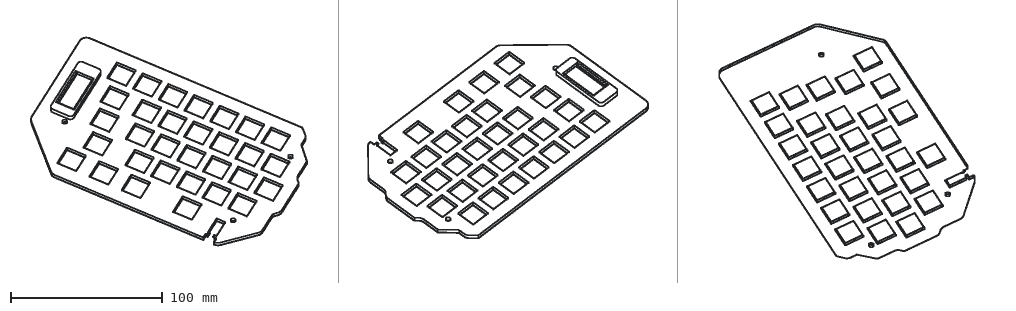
import cadquery as cq

LENGTH = 180.91
WIDTH = 108.77
TOTAL_HEIGHT = 6.65
PLATE_THICKNESS = 3.0

CORNER_RADIUS = 5.0
LOWER_LEFT_CUT = 33.1
LOWER_RIGHT_CUT = 21.5
TOP_RIGHT_CUT = 5.6
UPPER_STEP_X = 168.1
UPPER_STEP_Y = 96.4
MIDDLE_STEP_X = 177.55
MIDDLE_STEP_TOP_Y = 86.1
MIDDLE_STEP_BOTTOM_Y = 71.3
LOWER_STEP_X = 177.0
LOWER_STEP_Y = 37.7

KEY_PITCH = 19.05
KEY_OPENING = 14.0
KEY_ORIGIN_X = 36.75
TOP_ROW_Y = 92.6
KEY_ROWS = [
    [0, 1, 2, 3, 4, 5, 6],
    [0.25, 1.5, 2.5, 3.5, 4.5, 5.5, 6.5],
    [0.375, 1.75, 2.75, 3.75, 4.75, 5.75, 6.75],
    [0.625, 2.25, 3.25, 4.25, 5.25, 6.25],
    [0.125, 1.375, 2.625, 4.625],
]

SCREW_DIAMETER = 3.2
SCREW_CENTERS = [(21.1, 41.35), (166.2, 84.45), (156.2, 21.4)]

BEZEL_X = 16.75
BEZEL_Y = 65.75
BEZEL_SIZE_X = 16.75
BEZEL_SIZE_Y = 42.95
BEZEL_RADIUS = 2.5
WINDOW_Y = 64.5
WINDOW_SIZE_X = 13.65
WINDOW_SIZE_Y = 28.3
WINDOW_BEVEL = 1.0
POCKET_SIZE_X = WINDOW_SIZE_X - 2 * WINDOW_BEVEL
POCKET_SIZE_Y = 38.0
POCKET_FLOOR_Z = 3.45

NOTCH_X = 149.1
NOTCH_SIZE_X = 6.4
NOTCH_END_Y = 17.7
MOUTH_SIZE_X = 7.9
TAB_START_Y = 3.45
TAB_END_Y = 5.05
PLUG_DIAMETER = 5.35
PLUG_AXIS_Z = 0.75


def box_at(x, y, size_x, size_y, bottom, top):
    """Box centered on (x, y) between two heights."""
    return cq.Workplane("XY", origin=(x, y, bottom)).rect(size_x, size_y).extrude(top - bottom)


def make_plate():
    """Flat plate, with the outline listed counterclockwise from the front edge."""
    right_step = LENGTH - MIDDLE_STEP_X
    lower_step = LENGTH - LOWER_STEP_X
    corners = [
        (LOWER_LEFT_CUT, 0, True),
        (LOWER_STEP_X - LOWER_RIGHT_CUT, 0, True),
        (LOWER_STEP_X, LOWER_RIGHT_CUT, True),
        (LOWER_STEP_X, LOWER_STEP_Y, True),
        (LENGTH, LOWER_STEP_Y + lower_step, True),
        (LENGTH, MIDDLE_STEP_BOTTOM_Y - right_step, False),
        (MIDDLE_STEP_X, MIDDLE_STEP_BOTTOM_Y, True),
        (MIDDLE_STEP_X, MIDDLE_STEP_TOP_Y, False),
        (UPPER_STEP_X, UPPER_STEP_Y, False),
        (UPPER_STEP_X, WIDTH - TOP_RIGHT_CUT, True),
        (UPPER_STEP_X - TOP_RIGHT_CUT, WIDTH, False),
        (0, WIDTH, True),
        (0, LOWER_LEFT_CUT, True),
    ]
    outline = [(x, y) for x, y, _ in corners]
    plate = cq.Workplane("XY").polyline(outline).close().extrude(PLATE_THICKNESS)
    for x, y, rounded in corners:
        if rounded:
            corner_edge = cq.selectors.NearestToPointSelector((x, y, PLATE_THICKNESS / 2))
            plate = plate.edges("|Z").edges(corner_edge).fillet(CORNER_RADIUS)
    return plate


def make_key_openings():
    centers = []
    for row, columns in enumerate(KEY_ROWS):
        y = TOP_ROW_Y - row * KEY_PITCH
        centers += [(KEY_ORIGIN_X + column * KEY_PITCH, y) for column in columns]
    return cq.Workplane("XY").pushPoints(centers).rect(KEY_OPENING, KEY_OPENING).extrude(PLATE_THICKNESS)


def make_screw_holes():
    return cq.Workplane("XY").pushPoints(SCREW_CENTERS).circle(SCREW_DIAMETER / 2).extrude(PLATE_THICKNESS)


def make_bezel():
    bezel = box_at(BEZEL_X, BEZEL_Y, BEZEL_SIZE_X, BEZEL_SIZE_Y, 0, TOTAL_HEIGHT)
    return bezel.edges("|Z").fillet(BEZEL_RADIUS)


def make_display_cavity():
    """Pocket inside the bezel and the beveled window that opens it upward."""
    bevel_bottom = TOTAL_HEIGHT - WINDOW_BEVEL
    pocket = box_at(BEZEL_X, BEZEL_Y, POCKET_SIZE_X, POCKET_SIZE_Y, POCKET_FLOOR_Z, bevel_bottom)
    window = (
        cq.Workplane("XY", origin=(BEZEL_X, WINDOW_Y, bevel_bottom))
        .rect(WINDOW_SIZE_X - 2 * WINDOW_BEVEL, WINDOW_SIZE_Y - 2 * WINDOW_BEVEL)
        .workplane(offset=WINDOW_BEVEL)
        .rect(WINDOW_SIZE_X, WINDOW_SIZE_Y)
        .loft(ruled=True)
    )
    return pocket.union(window)


def make_jack_notch():
    """Open mouth, inner notch and the round plug channel that joins them between the tabs."""
    inner_length = NOTCH_END_Y - TAB_END_Y
    inner_center_y = (NOTCH_END_Y + TAB_END_Y) / 2
    mouth = box_at(NOTCH_X, TAB_START_Y / 2, MOUTH_SIZE_X, TAB_START_Y, 0, PLATE_THICKNESS)
    inner = box_at(NOTCH_X, inner_center_y, NOTCH_SIZE_X, inner_length, 0, PLATE_THICKNESS)
    plug = (
        cq.Workplane("XZ", origin=(NOTCH_X, 0, PLUG_AXIS_Z))
        .circle(PLUG_DIAMETER / 2)
        .extrude(-NOTCH_END_Y)
    )
    return mouth.union(inner).union(plug)


result = (
    make_plate()
    .union(make_bezel())
    .cut(make_display_cavity())
    .cut(make_key_openings())
    .cut(make_screw_holes())
    .cut(make_jack_notch())
)